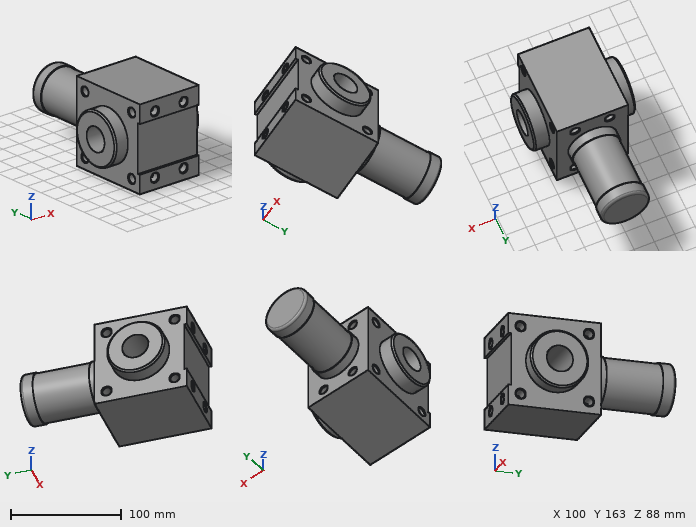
import cadquery as cq

total_length = 163.0
block_width = 70.1
block_side = 88.0

hub_span = 100.0
hub_diameter = 55.0
hub_chamfer = 1.6
bore_diameter = 25.0

neck_diameter = 46.1
collar_diameter = 48.0
base_collar_length = 9.1
end_collar_length = 12.2
end_fillet = 2.5

channel_height = 49.5
channel_depth = 2.6

hole_diameter = 8.5
hole_mouth_diameter = 10.1
hole_pitch = 64.9
front_hole_pitch = 34.0

front_y = -block_side / 2
back_y = block_side / 2
neck_length = total_length - block_side


def y_cylinder(diameter, start_y, length):
    """Solid cylinder on the block axis, running towards +Y."""
    return (
        cq.Workplane("XZ", origin=(0, start_y, 0))
        .circle(diameter / 2)
        .extrude(-length)
    )


def make_block():
    block = cq.Workplane("XY").box(block_width, block_side, block_side)
    channel = cq.Workplane("XY").box(block_width, 2 * channel_depth, channel_height)
    return block.cut(channel.translate((0, front_y, 0)))


def make_hubs():
    return (
        cq.Workplane("YZ")
        .circle(hub_diameter / 2)
        .extrude(hub_span / 2, both=True)
        .faces("<X or >X")
        .chamfer(hub_chamfer)
    )


def make_neck():
    neck = y_cylinder(neck_diameter, back_y, neck_length)
    base_collar = y_cylinder(collar_diameter, back_y, base_collar_length)
    end_collar = y_cylinder(
        collar_diameter, back_y + neck_length - end_collar_length, end_collar_length
    )
    return neck.union(base_collar).union(end_collar).faces(">Y").edges().fillet(end_fillet)


def through_hole(length):
    """Cutter along Z, centred on the origin, with a 45 degree countersink at both ends."""
    hole_radius = hole_diameter / 2
    mouth_radius = hole_mouth_diameter / 2
    countersink_depth = mouth_radius - hole_radius
    half_length = length / 2
    profile = [
        (0, -half_length),
        (mouth_radius, -half_length),
        (hole_radius, countersink_depth - half_length),
        (hole_radius, half_length - countersink_depth),
        (mouth_radius, half_length),
        (0, half_length),
    ]
    return cq.Workplane("XZ").polyline(profile).close().revolve(360, (0, 0), (0, 1))


def make_mounting_holes():
    side_hole = through_hole(block_width).rotate((0, 0, 0), (0, 1, 0), 90)
    front_hole = through_hole(block_side).rotate((0, 0, 0), (1, 0, 0), 90)
    holes = cq.Workplane("XY")
    for row in (-1, 1):
        hole_z = row * hole_pitch / 2
        for column in (-1, 1):
            holes = holes.add(side_hole.translate((0, column * hole_pitch / 2, hole_z)))
            holes = holes.add(front_hole.translate((column * front_hole_pitch / 2, 0, hole_z)))
    return holes.combine()


bore = cq.Workplane("YZ").circle(bore_diameter / 2).extrude(hub_span / 2, both=True)

result = (
    make_block()
    .union(make_hubs())
    .union(make_neck())
    .cut(bore)
    .cut(make_mounting_holes())
)